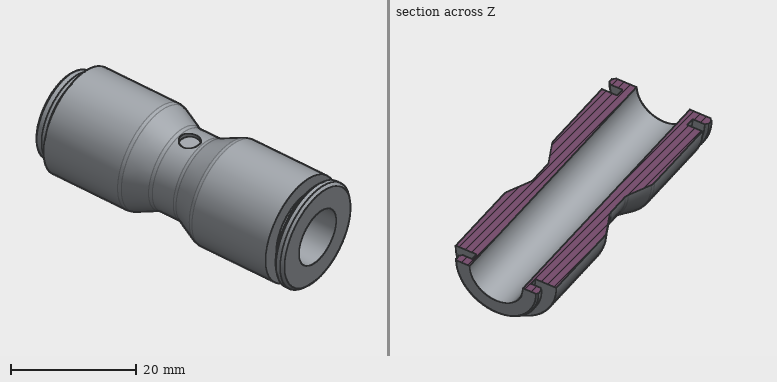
import cadquery as cq

length = 50.3
body_diameter = 19.0
bore_diameter = 10.0

body_start = 2.9
body_end = 47.0
body_radius = body_diameter / 2
taper_margin = 0.5
waist_radius = 7.35
waist_length = 4.85
taper_length = 4.65
blend_radius = 1.5
waist_center = (body_start + body_end) / 2

small_neck_radius = 5.6
small_flange_radius = 7.8
small_flange_width = 1.7
small_outer_chamfer_width = 0.3
small_outer_chamfer_drop = 0.3
small_inner_chamfer = 0.45

large_neck_radius = 6.65
large_flange_radius = 9.4
large_flange_width = 1.8
large_flange_chamfer = 0.5

badge_diameter = 3.55
badge_floor = 6.55


def revolve_about_x(points):
    """Solid of revolution from an (x, radius) outline closed along the X axis."""
    outline = [(points[0][0], 0), *points, (points[-1][0], 0)]
    return cq.Workplane("XY").polyline(outline).close().revolve(360, (0, 0), (1, 0))


def make_body():
    """Cylinder narrowing through two cones to a plain waist, with rounded transitions."""
    waist_start = waist_center - waist_length / 2
    waist_end = waist_center + waist_length / 2
    taper_start = waist_start - taper_length
    taper_end = waist_end + taper_length
    body = revolve_about_x([
        (body_start, body_radius),
        (taper_start, body_radius),
        (waist_start, waist_radius),
        (waist_end, waist_radius),
        (taper_end, body_radius),
        (body_end, body_radius),
    ])
    between_ends = cq.selectors.BoxSelector(
        (taper_start - taper_margin, -body_diameter, -body_diameter),
        (taper_end + taper_margin, body_diameter, body_diameter),
    )
    return body.edges("%CIRCLE").edges(between_ends).fillet(blend_radius)


def make_small_collar():
    return revolve_about_x([
        (0, small_flange_radius - small_outer_chamfer_drop),
        (small_outer_chamfer_width, small_flange_radius),
        (small_flange_width - small_inner_chamfer, small_flange_radius),
        (small_flange_width, small_flange_radius - small_inner_chamfer),
        (small_flange_width, small_neck_radius),
        (body_start, small_neck_radius),
    ])


def make_large_collar():
    flange_start = length - large_flange_width
    chamfer_base_radius = large_flange_radius - large_flange_chamfer
    return revolve_about_x([
        (body_end, large_neck_radius),
        (flange_start, large_neck_radius),
        (flange_start, chamfer_base_radius),
        (flange_start + large_flange_chamfer, large_flange_radius),
        (length - large_flange_chamfer, large_flange_radius),
        (length, chamfer_base_radius),
    ])


def make_badge_cutter():
    """Vertical cylinder that leaves a flat floor in the top of the waist."""
    return (
        cq.Workplane("XY", origin=(waist_center, 0, badge_floor))
        .circle(badge_diameter / 2)
        .extrude(body_radius - badge_floor)
    )


bore = cq.Workplane("YZ").circle(bore_diameter / 2).extrude(length)

result = (
    make_body()
    .union(make_small_collar())
    .union(make_large_collar())
    .cut(bore)
    .cut(make_badge_cutter())
)